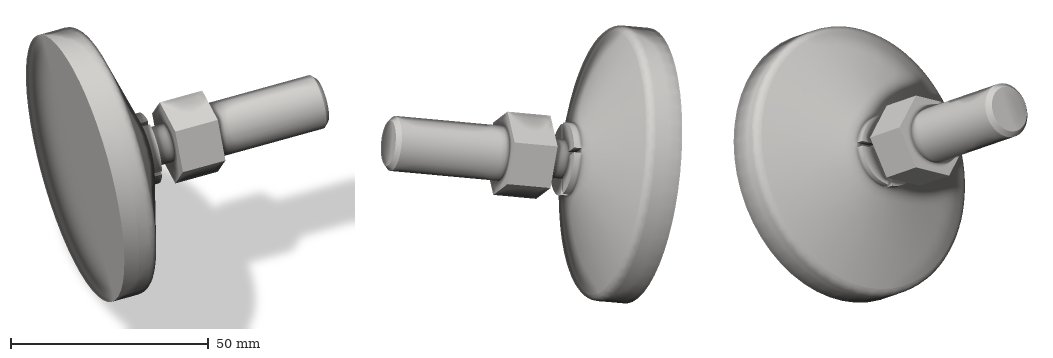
import cadquery as cq
import math


foot_diameter = 70.0
pad_thickness = 4.0
cone_angle = 20.0
rim_radius = 2.2
collar_diameter = 18.6
collar_base_y = 18.0
collar_height = 2.0
collar_slot_width = 1.2
socket_depth = 10.0

neck_diameter = 10.0
neck_gap = 5.0
hex_sides = 6
hex_across_flats = 19.0
hex_length = 11.5
shank_diameter = 14.0
shank_length = 30.0
tip_chamfer = 1.2

foot_radius = foot_diameter / 2
collar_radius = collar_diameter / 2
collar_top_y = collar_base_y + collar_height
socket_floor_y = collar_top_y - socket_depth
hex_base_y = collar_top_y + neck_gap
hex_across_corners = hex_across_flats / math.cos(math.pi / hex_sides)
hex_top_y = hex_base_y + hex_length
cone_drop = (foot_radius - collar_radius) * math.tan(math.radians(cone_angle))
rim_corner_y = collar_base_y - cone_drop


def plane_at(y):
    """Plane across the axis at height y, with +Y as its normal."""
    return cq.Workplane(cq.Plane(origin=(0, y, 0), xDir=(1, 0, 0), normal=(0, 1, 0)))


def cylinder(diameter, start_y, length):
    return plane_at(start_y).circle(diameter / 2).extrude(length)


def make_pad():
    return cylinder(foot_diameter, 0, pad_thickness)


def make_foot():
    """Conical foot with a rounded rim and a cross-slotted collar around the stud socket."""
    cone = (
        cq.Workplane("XY")
        .moveTo(0, pad_thickness)
        .lineTo(foot_radius, pad_thickness)
        .lineTo(foot_radius, rim_corner_y)
        .lineTo(collar_radius, collar_base_y)
        .lineTo(0, collar_base_y)
        .close()
        .revolve(360, (0, 0, 0), (0, 1, 0))
    )
    cone = cone.edges("%CIRCLE").edges(">>Y[-2]").fillet(rim_radius)

    collar = cylinder(collar_diameter, collar_base_y, collar_height)
    for turn in (0, 90):
        slot = (
            plane_at(collar_base_y)
            .transformed(rotate=(0, 0, turn))
            .rect(collar_diameter, collar_slot_width)
            .extrude(collar_height)
        )
        collar = collar.cut(slot)

    socket = cylinder(neck_diameter, socket_floor_y, socket_depth)
    return cone.union(collar).cut(socket)


def make_stud():
    """Neck seated in the socket, hexagon with corners on X, and chamfered shank."""
    neck = cylinder(neck_diameter, socket_floor_y, hex_base_y - socket_floor_y)
    hexagon = (
        plane_at(hex_base_y)
        .polygon(hex_sides, hex_across_corners)
        .extrude(hex_length)
    )
    shank = cylinder(shank_diameter, hex_top_y, shank_length).faces(">Y").chamfer(tip_chamfer)
    return neck.union(hexagon).union(shank)


pad = make_pad()
foot = make_foot()
stud = make_stud()

result = cq.Compound.makeCompound([body.solids().val() for body in (pad, foot, stud)])